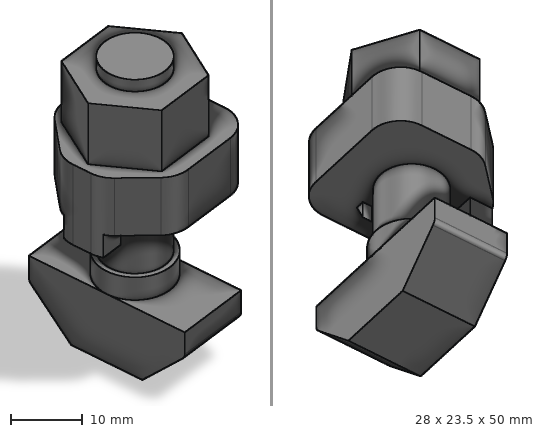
import cadquery as cq
import math

total_height = 50.0
head_height = 12.0
collar_height = 4.0
plate_bottom = 27.1
plate_thickness = 10.1
nut_height = 10.7
plate_top = plate_bottom + plate_thickness

head_length = 28.0
head_width = 12.5
head_base_length = 12.8
head_corner_radius = 1.5
collar_diameter = head_width
stud_diameter = 10.8
nut_across_flats = 18.0
nut_across_corners = nut_across_flats / math.cos(math.radians(30))

plate_half_width = 11.6
plate_half_depth = 11.75
plate_corner_radius = 5.0
front_flat_half_length = 1.6
left_slope_angle = 45.0
right_slope_angle = 40.0

tab_width = 7.1
tab_height = 4.0
tab_inner_distance = 7.5

wedge_left = 6.05
wedge_width = 1.45
wedge_height = 2.9
wedge_front = 1.0
wedge_back = 4.0


def make_head():
    """T-head with 45 degree lower flanks, rounded where they meet the ends."""
    half_length = head_length / 2
    half_base = head_base_length / 2
    flank_height = half_length - half_base
    head = (
        cq.Workplane("XZ")
        .moveTo(-half_base, 0)
        .lineTo(half_base, 0)
        .lineTo(half_length, flank_height)
        .lineTo(half_length, head_height)
        .lineTo(-half_length, head_height)
        .lineTo(-half_length, flank_height)
        .close()
        .extrude(head_width / 2, both=True)
    )
    corner_edges = cq.selectors.BoxSelector(
        (-head_length, -head_width, flank_height - 0.5),
        (head_length, head_width, flank_height + 0.5),
    )
    return head.edges("|Y").edges(corner_edges).fillet(head_corner_radius)


def front_corner(slope_angle):
    """Return the sharp front corner X and side corner Y for one sloping edge."""
    angle = math.radians(slope_angle)
    corner_x = front_flat_half_length + plate_corner_radius * math.tan(angle / 2)
    corner_y = -plate_half_depth + (plate_half_width - corner_x) * math.tan(angle)
    return corner_x, corner_y


def make_plate_blank(bottom, height):
    """Prism with the clamp plate outline."""
    left_x, left_y = front_corner(left_slope_angle)
    right_x, right_y = front_corner(right_slope_angle)
    outline = [
        (-left_x, -plate_half_depth),
        (right_x, -plate_half_depth),
        (plate_half_width, right_y),
        (plate_half_width, plate_half_depth),
        (-plate_half_width, plate_half_depth),
        (-plate_half_width, left_y),
    ]
    blank = cq.Workplane("XY").workplane(offset=bottom).polyline(outline).close().extrude(height)
    return blank.edges("|Z").fillet(plate_corner_radius)


def make_tab():
    """Tab that follows the front outline of the plate."""
    tab_bottom = plate_bottom - tab_height
    strip = cq.Workplane("XY").box(
        tab_width, plate_half_depth, tab_height, centered=(True, False, False)
    ).translate((0, -tab_inner_distance - plate_half_depth, tab_bottom))
    return make_plate_blank(tab_bottom, tab_height).intersect(strip)


def make_wedge():
    """Pointed wedge with a 45 degree front face and a sloping right side."""
    wedge_right = wedge_left + wedge_width
    plan = [
        (wedge_left, wedge_front + wedge_width),
        (wedge_right, wedge_front),
        (wedge_right, wedge_back),
        (wedge_left, wedge_back),
    ]
    block = (
        cq.Workplane("XY").workplane(offset=plate_bottom - wedge_height)
        .polyline(plan).close().extrude(wedge_height)
    )
    profile = [
        (wedge_left, plate_bottom - wedge_height),
        (wedge_right, plate_bottom),
        (wedge_left, plate_bottom),
    ]
    sloping_side = cq.Workplane("XZ").polyline(profile).close().extrude(-wedge_back)
    return block.intersect(sloping_side)


stud = (
    cq.Workplane("XY").workplane(offset=head_height)
    .circle(stud_diameter / 2).extrude(total_height - head_height)
)
collar = (
    cq.Workplane("XY").workplane(offset=head_height)
    .circle(collar_diameter / 2).extrude(collar_height)
)
nut = (
    cq.Workplane("XY").workplane(offset=plate_top)
    .transformed(rotate=(0, 0, 90))
    .polygon(6, nut_across_corners).extrude(nut_height)
)
plate = make_plate_blank(plate_bottom, plate_thickness)

result = make_head().union(collar).union(stud).union(plate).union(nut)
result = result.union(make_tab()).union(make_wedge())